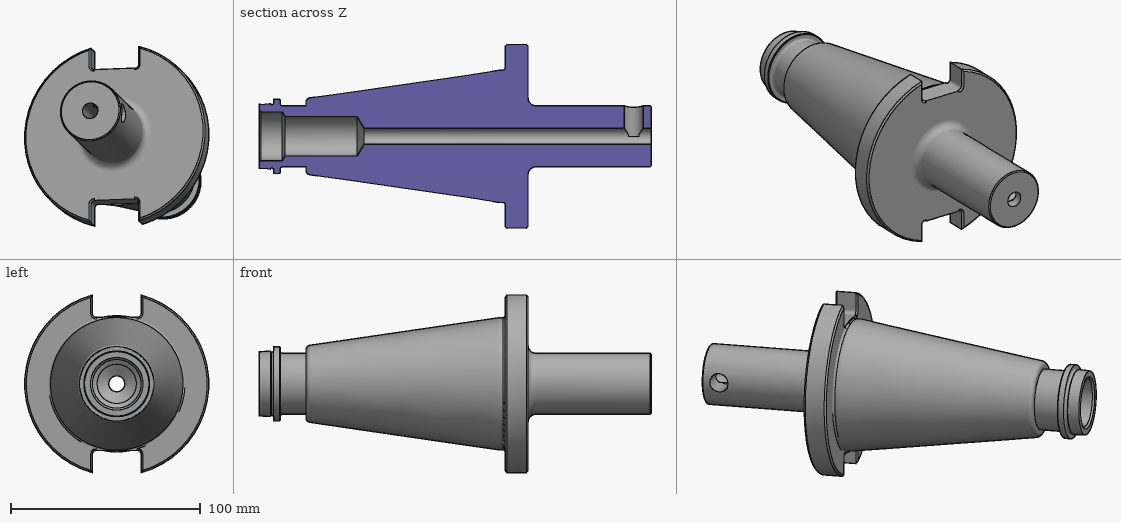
import cadquery as cq
import math

TOTAL_LENGTH = 207.0

NOSE_TIP_RADIUS = 17.0
NOSE_RADIUS = 17.4
NOSE_END = 6.0
RELIEF_RADIUS = 16.8
RELIEF_SLOPE_LENGTH = 0.5
RELIEF_FILLET = 1.0
COLLAR_RADIUS = 19.7
COLLAR_START = 7.7
COLLAR_END = 11.2
COLLAR_CHAMFER = 0.5
NECK_RADIUS = 16.1
NECK_FILLET = 1.2

TAPER_START = 24.6
TAPER_CORNER_RADIUS = 2.7
GAUGE_X = 126.7
GAUGE_RADIUS = 35.0
RADIUS_PER_LENGTH = 7 / 48
ROOT_FILLET = 1.0

FLANGE_START = 129.8
FLANGE_END = 142.0
FLANGE_RADIUS = 48.6
FLANGE_CHAMFER = 0.93
SLOT_WIDTH = 25.7
SLOT_FLOOR_HEIGHT = 35.2
SLOT_CORNER_RADIUS = 2.0

SHANK_RADIUS = 16.1
SHANK_FILLET = 4.1
SHANK_CHAMFER = 0.6
SIDE_HOLE_DIAMETER = 10.0
SIDE_HOLE_X = 197.7

MOUTH_RADIUS = 13.9
PILOT_RADIUS = 12.8
PILOT_END = 12.2
THREAD_RADIUS = 10.4
THREAD_END = 51.8
COOLANT_RADIUS = 4.1
DRILL_POINT_ANGLE = 118.0


def cylinder(radius, start, end):
    return cq.Workplane("YZ", origin=(start, 0, 0)).circle(radius).extrude(end - start)


def revolve_about_x(profile):
    return profile.close().revolve(360, (0, 0, 0), (1, 0, 0))


def make_nose():
    relief_start = NOSE_END + RELIEF_SLOPE_LENGTH
    neck_start = COLLAR_END + NECK_FILLET
    profile = (
        cq.Workplane("XZ")
        .lineTo(0, NOSE_TIP_RADIUS)
        .lineTo(NOSE_END, NOSE_RADIUS)
        .lineTo(relief_start, RELIEF_RADIUS)
        .lineTo(COLLAR_START - RELIEF_FILLET, RELIEF_RADIUS)
        .radiusArc((COLLAR_START, RELIEF_RADIUS + RELIEF_FILLET), -RELIEF_FILLET)
        .lineTo(COLLAR_START, COLLAR_RADIUS)
        .lineTo(COLLAR_END - COLLAR_CHAMFER, COLLAR_RADIUS)
        .lineTo(COLLAR_END, COLLAR_RADIUS - COLLAR_CHAMFER)
        .lineTo(COLLAR_END, NECK_RADIUS + NECK_FILLET)
        .radiusArc((neck_start, NECK_RADIUS), -NECK_FILLET)
        .lineTo(TAPER_START, NECK_RADIUS)
        .lineTo(TAPER_START, 0)
    )
    return revolve_about_x(profile)


def make_taper():
    small_radius = GAUGE_RADIUS - (GAUGE_X - TAPER_START) * RADIUS_PER_LENGTH
    profile = (
        cq.Workplane("XZ", origin=(TAPER_START, 0, 0))
        .lineTo(0, small_radius)
        .lineTo(GAUGE_X - TAPER_START, GAUGE_RADIUS)
        .lineTo(FLANGE_START - ROOT_FILLET - TAPER_START, GAUGE_RADIUS)
        .radiusArc((FLANGE_START - TAPER_START, GAUGE_RADIUS + ROOT_FILLET), -ROOT_FILLET)
        .lineTo(FLANGE_START - TAPER_START, 0)
    )
    return revolve_about_x(profile).faces("<X").edges().fillet(TAPER_CORNER_RADIUS)


def make_flange():
    thickness = FLANGE_END - FLANGE_START
    middle = FLANGE_START + thickness / 2
    flange = cylinder(FLANGE_RADIUS, FLANGE_START, FLANGE_END)
    slot_cutter = (
        cq.Workplane("XY")
        .box(2 * thickness, SLOT_WIDTH, 2 * (FLANGE_RADIUS - SLOT_FLOOR_HEIGHT))
        .edges("|X").fillet(SLOT_CORNER_RADIUS)
    )
    for side in (1, -1):
        flange = flange.cut(slot_cutter.translate((middle, 0, side * FLANGE_RADIUS)))
    flange = flange.faces("<X or >X").edges().chamfer(FLANGE_CHAMFER)
    floor_width = SLOT_WIDTH - 2 * SLOT_CORNER_RADIUS
    floor_block = cq.Workplane("XY").box(thickness, floor_width, 2 * SLOT_FLOOR_HEIGHT)
    return flange.union(floor_block.translate((middle, 0, 0)))


def make_shank():
    profile = (
        cq.Workplane("XZ", origin=(FLANGE_END, 0, 0))
        .lineTo(0, SHANK_RADIUS + SHANK_FILLET)
        .radiusArc((SHANK_FILLET, SHANK_RADIUS), -SHANK_FILLET)
        .lineTo(TOTAL_LENGTH - FLANGE_END, SHANK_RADIUS)
        .lineTo(TOTAL_LENGTH - FLANGE_END, 0)
    )
    return revolve_about_x(profile).faces(">X").edges().chamfer(SHANK_CHAMFER)


def make_bore():
    mouth_chamfer = MOUTH_RADIUS - PILOT_RADIUS
    point_slope = math.tan(math.radians(DRILL_POINT_ANGLE / 2))
    step_length = (PILOT_RADIUS - THREAD_RADIUS) / point_slope
    point_length = (THREAD_RADIUS - COOLANT_RADIUS) / point_slope
    profile = (
        cq.Workplane("XZ")
        .lineTo(0, MOUTH_RADIUS)
        .lineTo(mouth_chamfer, PILOT_RADIUS)
        .lineTo(PILOT_END, PILOT_RADIUS)
        .lineTo(PILOT_END + step_length, THREAD_RADIUS)
        .lineTo(THREAD_END, THREAD_RADIUS)
        .lineTo(THREAD_END + point_length, COOLANT_RADIUS)
        .lineTo(TOTAL_LENGTH, COOLANT_RADIUS)
        .lineTo(TOTAL_LENGTH, 0)
    )
    return revolve_about_x(profile)


def make_side_hole():
    return (
        cq.Workplane("XZ", origin=(SIDE_HOLE_X, 0, 0))
        .circle(SIDE_HOLE_DIAMETER / 2)
        .extrude(-SHANK_RADIUS)
    )


body = make_nose().union(make_taper()).union(make_flange()).union(make_shank())
result = body.cut(make_bore()).cut(make_side_hole())